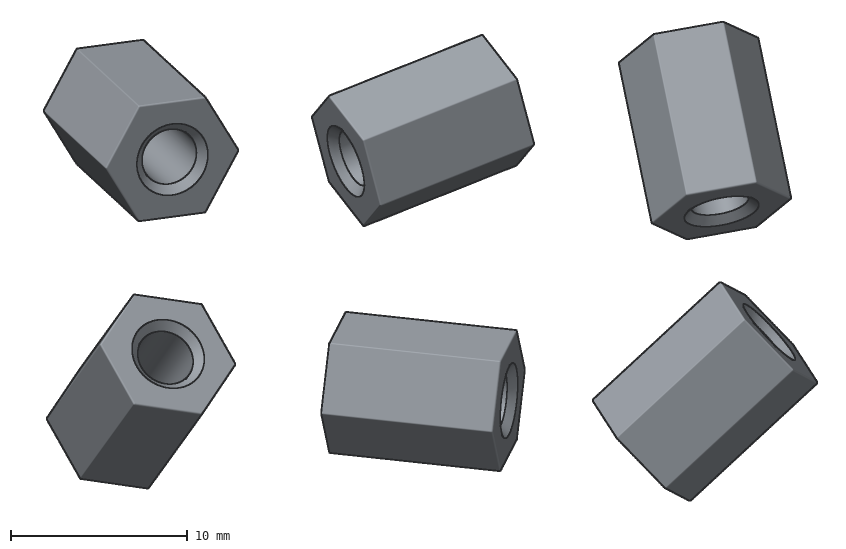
import cadquery as cq
import math

length = 10.0
side_count = 6
across_flats = 7.0
edge_radius = 0.1
bore_diameter = 3.3
countersink_diameter = 4.3
countersink_angle = 90.0

across_corners = across_flats / math.cos(math.pi / side_count)
countersink_width = (countersink_diameter - bore_diameter) / 2
countersink_depth = countersink_width / math.tan(math.radians(countersink_angle / 2))


def hexagonal_body():
    """Hexagonal bar with flats on top and bottom and every outer edge rounded."""
    bar = cq.Workplane("YZ").polygon(side_count, across_corners).extrude(length / 2, both=True)
    return bar.edges().fillet(edge_radius)


def bore():
    """Through hole with a conical countersink at each end, revolved about X."""
    end = length / 2
    cone_start = end - countersink_depth
    bore_radius = bore_diameter / 2
    mouth_radius = countersink_diameter / 2
    profile = [
        (-end, 0),
        (-end, mouth_radius),
        (-cone_start, bore_radius),
        (cone_start, bore_radius),
        (end, mouth_radius),
        (end, 0),
    ]
    return cq.Workplane("XY").polyline(profile).close().revolve(360, (0, 0, 0), (1, 0, 0))


result = hexagonal_body().cut(bore())